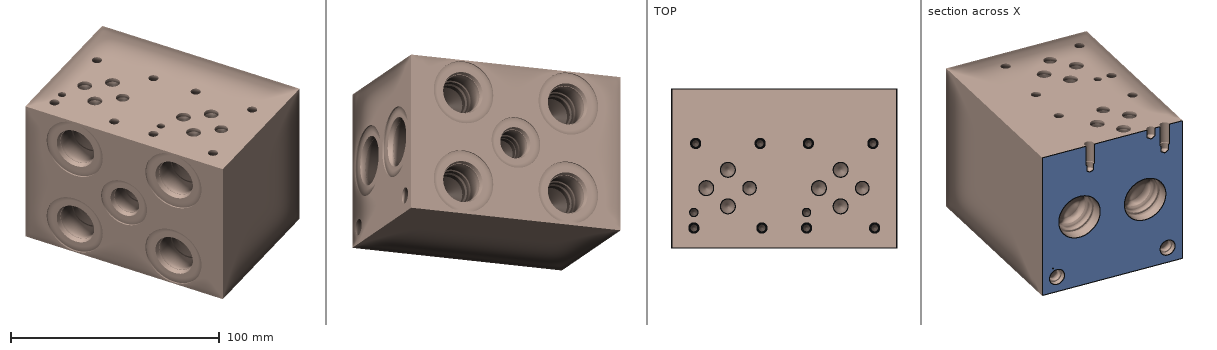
import cadquery as cq
import math

LENGTH = 108.0
WIDTH = 76.2
HEIGHT = 76.2

MODULE_SPACING = 54.0
MODULE_CENTRES = (-MODULE_SPACING / 2, MODULE_SPACING / 2)
SIDES = (-1, 1)

SERVICE_PORT_Z = 22.1
END_PORT_Y = 17.8
END_SCREW_Y = 30.0
END_SCREW_Z = -29.9

SPOTFACE_DEPTH = 0.8
SEAT_DEPTH = 2.5
THREAD_RELIEF = 0.3
TAP_DRILL_RUNOUT = 3.2

DRILL_POINT_ANGLE = 118.0

PASSAGE_DIAMETER = 7.1
SMALL_PASSAGE_DIAMETER = 6.5
PASSAGE_DEPTH = 2.0
PATTERN_Y = -9.4
PATTERN_HALF_LENGTH = 10.4
PATTERN_HALF_WIDTH = 8.7

REAR_SCREW_X = 15.4
REAR_SCREW_Y = 12.0
FRONT_SCREW_X = 16.3
FRONT_SCREW_Y = -28.5
PIN_X = -FRONT_SCREW_X
PIN_Y = -21.0
PIN_DIAMETER = 4.0
PIN_DEPTH = 4.3


def drill_point_height(diameter):
    return diameter / 2 / math.tan(math.radians(DRILL_POINT_ANGLE / 2))


def bore(steps):
    """Revolved cutter with its mouth at z = 0, running down -Z to a drill point.

    Each step is (top diameter, bottom diameter, bottom depth), from the mouth down.
    """
    outline = [(0, 0)]
    depth = 0
    for top_diameter, bottom_diameter, bottom_depth in steps:
        shoulder = (top_diameter / 2, -depth)
        if shoulder != outline[-1]:
            outline.append(shoulder)
        outline.append((bottom_diameter / 2, -bottom_depth))
        depth = bottom_depth
    outline.append((0, -depth - drill_point_height(bottom_diameter)))
    return cq.Workplane("XZ").polyline(outline).close().revolve(360, (0, 0), (0, 1))


def drilled_hole(diameter, depth):
    return bore([(diameter, diameter, depth)])


def screw_hole(thread, tap_drill, thread_depth):
    return bore([
        (thread, thread, thread_depth),
        (tap_drill, tap_drill, thread_depth + TAP_DRILL_RUNOUT),
    ])


def threaded_port(spotface, seat_mouth, seat_end, tap_drill, feed_drill, thread_depth, feed_depth):
    """Spotface, tapered seal seat, thread, and a tap drill whose point meets a feed drilling."""
    thread = seat_end - THREAD_RELIEF
    tap_depth = thread_depth + TAP_DRILL_RUNOUT
    feed_start = tap_depth + drill_point_height(tap_drill - feed_drill)
    return bore([
        (spotface, spotface, SPOTFACE_DEPTH),
        (seat_mouth, seat_end, SPOTFACE_DEPTH + SEAT_DEPTH),
        (thread, thread, thread_depth),
        (tap_drill, tap_drill, tap_depth),
        (tap_drill, feed_drill, feed_start),
        (feed_drill, feed_drill, feed_depth),
    ])


def on_front(cutter, x, z):
    return cutter.rotate((0, 0, 0), (1, 0, 0), 90).translate((x, -WIDTH / 2, z))


def on_left_end(cutter, y, z):
    return cutter.rotate((0, 0, 0), (0, 1, 0), -90).translate((-LENGTH / 2, y, z))


def on_top(cutter, x, y):
    return cutter.translate((x, y, HEIGHT / 2))


def front_ports():
    """Two service ports per module, one above the other, and a central gauge port."""
    service_port = threaded_port(
        spotface=30.7, seat_mouth=20.4, seat_end=19.2, tap_drill=17.5, feed_drill=15.9,
        thread_depth=14.2, feed_depth=21.6,
    )
    gauge_port = threaded_port(
        spotface=25.0, seat_mouth=15.5, seat_end=14.5, tap_drill=12.7, feed_drill=12.1,
        thread_depth=12.7, feed_depth=19.4,
    )
    cutters = [on_front(gauge_port, 0, 0)]
    for module_x in MODULE_CENTRES:
        for side in SIDES:
            cutters.append(on_front(service_port, module_x, side * SERVICE_PORT_Z))
    return cutters


def left_end_holes():
    """Supply and return ports, with a mounting screw hole in each lower corner."""
    end_port = threaded_port(
        spotface=34.1, seat_mouth=24.0, seat_end=22.6, tap_drill=20.4, feed_drill=17.5,
        thread_depth=16.7, feed_depth=25.9,
    )
    end_screw = screw_hole(thread=7.9, tap_drill=6.5, thread_depth=13.0)
    cutters = []
    for side in SIDES:
        cutters.append(on_left_end(end_port, side * END_PORT_Y, 0))
        cutters.append(on_left_end(end_screw, side * END_SCREW_Y, END_SCREW_Z))
    return cutters


def valve_interface(module_x):
    """Four passages, four screw holes and a locating pin hole on the top face."""
    passage = drilled_hole(PASSAGE_DIAMETER, PASSAGE_DEPTH)
    small_passage = drilled_hole(SMALL_PASSAGE_DIAMETER, PASSAGE_DEPTH)
    valve_screw = screw_hole(thread=4.9, tap_drill=3.8, thread_depth=10.8)
    pin_hole = drilled_hole(PIN_DIAMETER, PIN_DEPTH)

    cutters = [
        on_top(passage, module_x - PATTERN_HALF_LENGTH, PATTERN_Y),
        on_top(small_passage, module_x + PATTERN_HALF_LENGTH, PATTERN_Y),
        on_top(pin_hole, module_x + PIN_X, PIN_Y),
    ]
    for side in SIDES:
        cutters.append(on_top(passage, module_x, PATTERN_Y + side * PATTERN_HALF_WIDTH))
        cutters.append(on_top(valve_screw, module_x + side * REAR_SCREW_X, REAR_SCREW_Y))
        cutters.append(on_top(valve_screw, module_x + side * FRONT_SCREW_X, FRONT_SCREW_Y))
    return cutters


all_cutters = front_ports() + left_end_holes()
for centre_x in MODULE_CENTRES:
    all_cutters += valve_interface(centre_x)

result = cq.Workplane("XY").box(LENGTH, WIDTH, HEIGHT)
for hole_cutter in all_cutters:
    result = result.cut(hole_cutter)